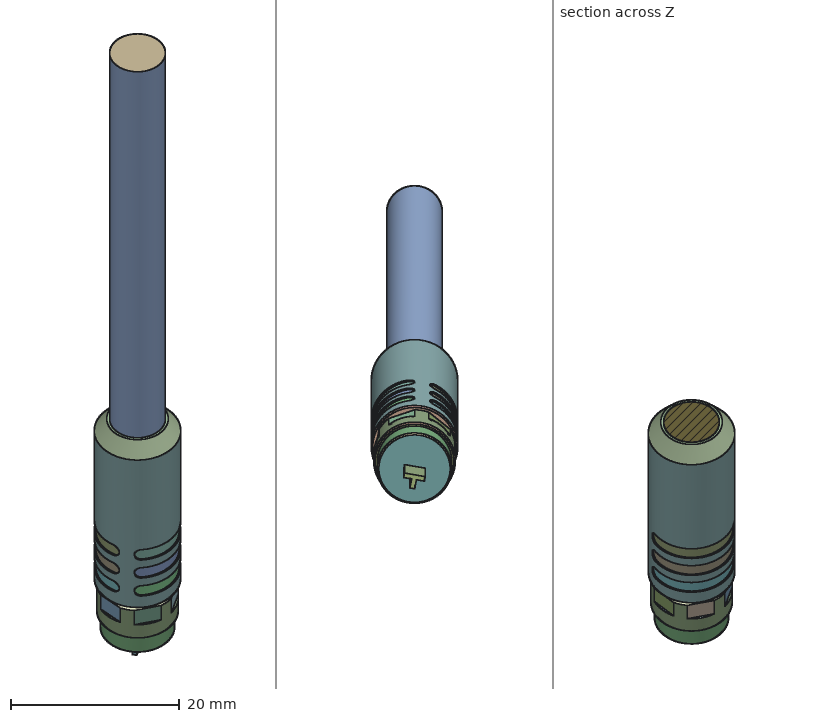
import cadquery as cq
import math

total_length = 96.15
head_bottom = 3.1
step_height = 5.8
flat_bottom = 8.1
head_top = 10.4
grip_bottom = 11.0
grip_shoulder = 35.0
grip_top = 36.9

cable_radius = 6.6 / 2
grip_radius = 10.3 / 2
grip_top_radius = 7.3 / 2
neck_radius = 6.3 / 2
collar_radius = 9.7 / 2
nose_radius = 8.8 / 2
edge_chamfer = 0.2

main_angle = 225.0

flat_count = 6
flat_distance = 9.1 / 2

groove_sides = 2
groove_count = 3
grooves_bottom = 13.0
grooves_top = 20.5
groove_end_radius = 0.84
groove_depth = 0.2
groove_half_angle = 79.5
groove_width = 2 * groove_end_radius
groove_pitch = (grooves_top - grooves_bottom - groove_width) / (groove_count - 1)
groove_floor_radius = grip_radius - groove_depth
cutter_radius = grip_radius + groove_depth

key_bar_length = 2.5
key_stem_length = 1.4
key_thickness = 0.6


def cylinder(radius, bottom, top):
    return cq.Workplane("XY").workplane(offset=bottom).circle(radius).extrude(top - bottom)


def turned(shape, angle):
    """The shape turned about the Z axis."""
    return shape.rotate((0, 0, 0), (0, 0, 1), angle)


def make_cable():
    return cylinder(cable_radius, grip_top, total_length)


def make_groove_cutter(bottom):
    """A ring sector with a round end on each side, centred on +X."""
    middle = bottom + groove_end_radius
    end_angle = groove_half_angle - math.degrees(groove_end_radius / grip_radius)
    sector = (
        cq.Workplane("XZ")
        .moveTo(groove_floor_radius, bottom)
        .rect(cutter_radius - groove_floor_radius, groove_width, centered=False)
        .revolve(2 * end_angle, (0, 0, 0), (0, 1, 0))
    )
    round_end = (
        cq.Workplane("YZ")
        .center(0, middle)
        .circle(groove_end_radius)
        .extrude(cutter_radius)
        .cut(cylinder(groove_floor_radius, bottom, bottom + groove_width))
    )
    cutter = turned(sector, -end_angle)
    for angle in (-end_angle, end_angle):
        cutter = cutter.union(turned(round_end, angle))
    return cutter


def make_grip():
    barrel = cylinder(grip_radius, grip_bottom, grip_shoulder).faces("<Z").chamfer(edge_chamfer)
    cone = (
        cq.Workplane("XY")
        .workplane(offset=grip_shoulder)
        .circle(grip_radius)
        .workplane(offset=grip_top - grip_shoulder)
        .circle(grip_top_radius)
        .loft(ruled=True)
    )
    grip = turned(barrel.union(cone), main_angle + 90)
    for side in range(groove_sides):
        for row in range(groove_count):
            cutter = make_groove_cutter(grooves_bottom + row * groove_pitch)
            grip = grip.cut(turned(cutter, main_angle + side * 360 / groove_sides))
    return grip


def make_collar():
    collar = cylinder(collar_radius, step_height, head_top).faces("<Z").chamfer(edge_chamfer)
    flat_cutter = (
        cq.Workplane("XY")
        .workplane(offset=flat_bottom)
        .center(flat_distance, 0)
        .rect(collar_radius, 2 * collar_radius, centered=(False, True))
        .extrude(head_top - flat_bottom)
    )
    for index in range(flat_count):
        collar = collar.cut(turned(flat_cutter, main_angle + index * 360 / flat_count))
    return collar


def make_key():
    bar = cq.Workplane("XY").rect(key_bar_length, key_thickness).extrude(head_bottom)
    stem = (
        cq.Workplane("XY")
        .rect(key_thickness, key_stem_length, centered=(True, False))
        .extrude(head_bottom)
    )
    return turned(bar.union(stem), main_angle)


def make_head():
    nose = cylinder(nose_radius, head_bottom, step_height).faces("<Z").chamfer(edge_chamfer)
    neck = cylinder(neck_radius, head_top, grip_bottom)
    return nose.union(make_collar()).union(neck).union(make_key())


cable = make_cable()
grip = make_grip()
head = make_head()
result = cq.Compound.makeCompound([cable.val(), grip.val(), head.val()])